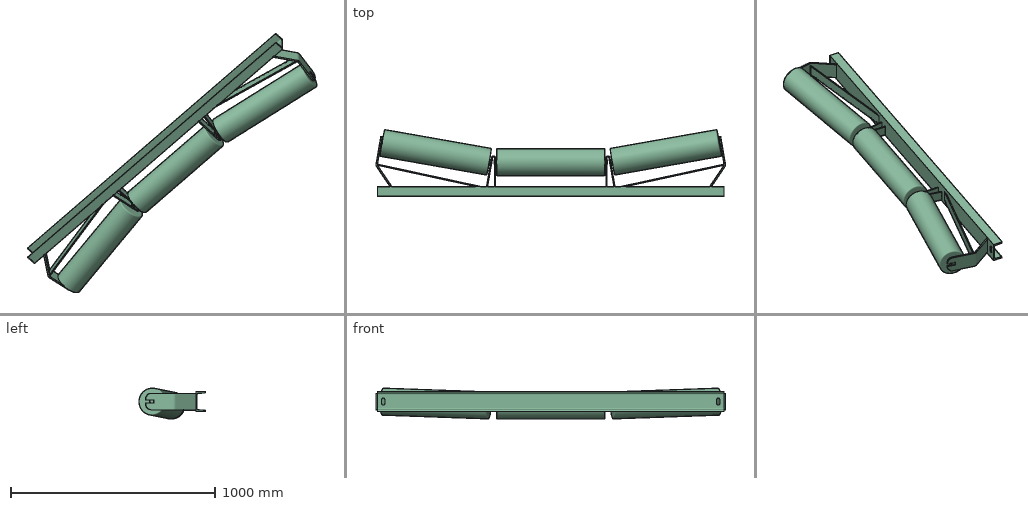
import cadquery as cq
import math

OVERALL_WIDTH = 1711.0
BEAM_LENGTH = 1697.0
BEAM_HEIGHT = 100.0
BEAM_DEPTH = 48.0
WEB_THICKNESS = 5.0
FLANGE_TIP = 7.7
FLANGE_ROOT = 10.0
ROOT_FILLET = 7.0
TOE_FILLET = 6.0
MOUNT_SLOT_LENGTH = 35.0
MOUNT_SLOT_WIDTH = 15.0
MOUNT_SLOT_X = 820.0

ROLLER_RADIUS = 67.0
ROLLER_LENGTH = 530.0
ROLLER_EDGE_FILLET = 5.0
AXLE_RADIUS = 10.0
AXLE_FLATS = 14.0
AXLE_STICKOUT = 12.0
MIDDLE_Y = 120.0
MIDDLE_Z = -19.0
WING_X = 563.0
WING_Y = 168.0
TROUGH_ANGLE = 10.0
LEAN_ANGLE = 2.0

AXLE_SLOT_WIDTH = 15.0

END_HEIGHT = 80.0
END_THICKNESS = 8.0
END_BEND_RADIUS = 19.0
END_BEND_Y = 108.0
END_LEG_ANGLE = 34.0
END_ARM_LENGTH = 137.0
END_ARM_CORNER = 27.0

HANGER_HEIGHT = 51.0
HANGER_THICKNESS = 6.0
HANGER_TOP = 150.0
HANGER_UPRIGHT_X = 270.0
HANGER_FOOT_X = 315.0
HANGER_BEND_RADIUS = 9.0

BRACE_HEIGHT = 51.0
BRACE_THICKNESS = 6.0
BRACE_FOOT_X = 339.0

LEFT = -1
RIGHT = 1
SIDES = (LEFT, RIGHT)
TROUGH = math.radians(TROUGH_ANGLE)
LEAN_RISE = ROLLER_LENGTH / 2 * math.sin(math.radians(LEAN_ANGLE))
WING_Z = MIDDLE_Z + LEAN_RISE
WING_OUTER_Z = WING_Z + LEAN_RISE
END_BEND = (END_BEND_RADIUS - OVERALL_WIDTH / 2, END_BEND_Y)


def on_side(left_body, side):
    """Return the body as built for the left side, or its mirror image for the right side."""
    return left_body if side == LEFT else left_body.mirror("YZ")


def polar(center, radius, degrees):
    angle = math.radians(degrees)
    return (center[0] + radius * math.cos(angle), center[1] + radius * math.sin(angle))


def bar(outline, length):
    """Extrude a closed outline by a length centred on the outline's plane."""
    return outline.extrude(length).translate(outline.plane.zDir * (-length / 2))


def polygon_plate(points, height):
    return bar(cq.Workplane("XY").polyline(points).close(), height)


def inside_edges_at(y):
    """Select the two edges at the given Y that lie on the inner faces of the flanges."""
    reach_y = WEB_THICKNESS / 2
    reach_z = (BEAM_HEIGHT - FLANGE_TIP) / 2
    return cq.selectors.BoxSelector(
        (-BEAM_LENGTH, y - reach_y, -reach_z), (BEAM_LENGTH, y + reach_y, reach_z)
    )


def make_beam():
    """A channel with tapered flanges, rounded toes and an upright slot near each end of the web."""
    half = BEAM_HEIGHT / 2
    outline = [
        (0, -half),
        (-BEAM_DEPTH, -half),
        (-BEAM_DEPTH, FLANGE_TIP - half),
        (-WEB_THICKNESS, FLANGE_ROOT - half),
        (-WEB_THICKNESS, half - FLANGE_ROOT),
        (-BEAM_DEPTH, half - FLANGE_TIP),
        (-BEAM_DEPTH, half),
        (0, half),
    ]
    beam = bar(cq.Workplane("YZ").polyline(outline).close(), BEAM_LENGTH)
    beam = beam.edges("|X").edges(inside_edges_at(-WEB_THICKNESS)).fillet(ROOT_FILLET)
    beam = beam.edges("|X").edges(inside_edges_at(-BEAM_DEPTH)).fillet(TOE_FILLET)
    mount_slots = (
        cq.Workplane("XZ")
        .pushPoints([(-MOUNT_SLOT_X, 0), (MOUNT_SLOT_X, 0)])
        .slot2D(MOUNT_SLOT_LENGTH, MOUNT_SLOT_WIDTH, 90)
        .extrude(BEAM_DEPTH)
    )
    return beam.cut(mount_slots)


def make_roller():
    """A roller along X, centred on the origin, in one solid with its flatted axle ends."""
    drum = bar(cq.Workplane("YZ").circle(ROLLER_RADIUS), ROLLER_LENGTH)
    drum = drum.edges("<X or >X").fillet(ROLLER_EDGE_FILLET)
    axle_length = ROLLER_LENGTH + 2 * AXLE_STICKOUT
    axle = bar(cq.Workplane("YZ").circle(AXLE_RADIUS), axle_length)
    flats = cq.Workplane("XY").box(axle_length, 2 * AXLE_RADIUS, AXLE_FLATS)
    return drum.union(axle.intersect(flats))


def tilt_to_wing(body, z):
    """Turn a body lying along X to the left wing roller's trough angle and move it there."""
    turned = body.rotate((0, 0, 0), (0, 0, 1), -TROUGH_ANGLE)
    return turned.translate((-WING_X, WING_Y, z))


def make_middle_roller():
    return make_roller().translate((0, MIDDLE_Y, MIDDLE_Z))


def make_wing_roller(side):
    leaning = make_roller().rotate((0, 0, 0), (0, 1, 0), LEAN_ANGLE)
    return on_side(tilt_to_wing(leaning, WING_Z), side)


def axle_slot(end):
    """A slot cutter for the axle at one end of a roller along X, open towards +Y."""
    length = 2 * AXLE_STICKOUT
    depth = 2 * ROLLER_RADIUS
    cutter = cq.Workplane("XY").box(length, depth, AXLE_SLOT_WIDTH)
    return cutter.translate((end * (ROLLER_LENGTH + length) / 2, depth / 2 - AXLE_RADIUS, 0))


def make_end_bracket(side):
    """A bent plate whose rounded arm tip has an open slot for the wing roller's axle."""
    inner_radius = END_BEND_RADIUS - END_THICKNESS
    arm_normal = 180 - TROUGH_ANGLE
    arm_direction = 90 - TROUGH_ANGLE
    leg_normal = 180 + END_LEG_ANGLE
    leg_slope = math.tan(math.radians(END_LEG_ANGLE))

    outer_arm = polar(END_BEND, END_BEND_RADIUS, arm_normal)
    inner_arm = polar(END_BEND, inner_radius, arm_normal)
    outer_leg = polar(END_BEND, END_BEND_RADIUS, leg_normal)
    inner_leg = polar(END_BEND, inner_radius, leg_normal)
    outline = (
        cq.Workplane("XY")
        .moveTo(outer_leg[0] + outer_leg[1] * leg_slope, 0)
        .lineTo(*outer_leg)
        .threePointArc(polar(END_BEND, END_BEND_RADIUS, 180), outer_arm)
        .lineTo(*polar(outer_arm, END_ARM_LENGTH, arm_direction))
        .lineTo(*polar(inner_arm, END_ARM_LENGTH, arm_direction))
        .lineTo(*inner_arm)
        .threePointArc(polar(END_BEND, inner_radius, 180), inner_leg)
        .lineTo(inner_leg[0] + inner_leg[1] * leg_slope, 0)
        .close()
    )
    bracket = bar(outline, END_HEIGHT)
    across_thickness = cq.selectors.ParallelDirSelector(cq.Vector(*polar((0, 0), 1, arm_normal)))
    bracket = bracket.faces(">Y").edges(across_thickness).fillet(END_ARM_CORNER)
    bracket = bracket.cut(tilt_to_wing(axle_slot(LEFT), WING_OUTER_Z))
    return on_side(bracket, side)


def hanger_profile(inset):
    """The U's corner points, moved inwards by the inset at the legs and the top."""
    top = HANGER_TOP - inset
    upright_x = -HANGER_UPRIGHT_X - inset
    foot_x = -HANGER_FOOT_X + inset / math.cos(TROUGH)
    return [(upright_x, 0), (upright_x, top), (foot_x + top * math.tan(TROUGH), top), (foot_x, 0)]


def make_hanger(side):
    """A bent U with an open slot in each leg, one for the middle and one for the wing roller."""
    hanger = polygon_plate(hanger_profile(0), HANGER_HEIGHT)
    hanger = hanger.faces(">Y").edges("|Z").fillet(HANGER_BEND_RADIUS)
    hanger = hanger.cut(polygon_plate(hanger_profile(HANGER_THICKNESS), HANGER_HEIGHT))
    hanger = hanger.translate((0, 0, MIDDLE_Z))
    hanger = hanger.cut(axle_slot(LEFT).translate((0, MIDDLE_Y, MIDDLE_Z)))
    hanger = hanger.cut(tilt_to_wing(axle_slot(RIGHT), MIDDLE_Z))
    return on_side(hanger, side)


def make_brace(side):
    """A sloping strip cut flush with the beam and fitted into the end bracket's bend."""
    bend_x, bend_y = END_BEND
    slope = math.atan2(bend_y, -BRACE_FOOT_X - bend_x)
    drop = BRACE_THICKNESS / math.cos(slope)
    foot_length = BRACE_THICKNESS / math.sin(slope)
    start_x = bend_x - END_BEND_RADIUS + END_THICKNESS / 2
    start_y = bend_y + (bend_x - start_x) * math.tan(slope)
    outline = [
        (start_x, start_y),
        (-BRACE_FOOT_X, 0),
        (-BRACE_FOOT_X - foot_length, 0),
        (start_x, start_y - drop),
    ]
    brace = polygon_plate(outline, BRACE_HEIGHT)
    return on_side(brace.cut(make_end_bracket(LEFT)), side)


beam = make_beam()
middle_roller = make_middle_roller()
wing_rollers = [make_wing_roller(side).val() for side in SIDES]
end_brackets = [make_end_bracket(side).val() for side in SIDES]
hangers = [make_hanger(side).val() for side in SIDES]
braces = [make_brace(side).val() for side in SIDES]

result = cq.Compound.makeCompound(
    [beam.val(), middle_roller.val(), *wing_rollers, *end_brackets, *hangers, *braces]
)